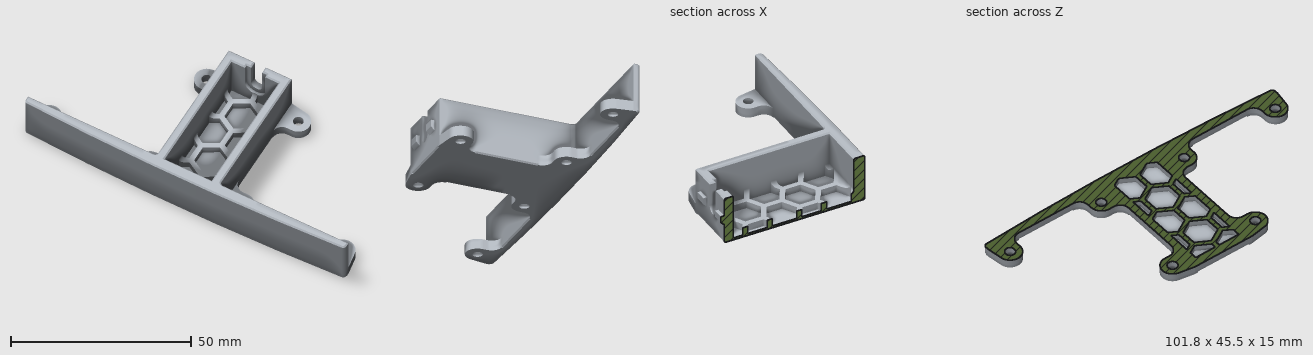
import cadquery as cq
import math

length = 101.8
height = 15.0
edge_chamfer = 0.4

plate_back = 3.6
plate_bow = 1.4
plate_corner_radius = 1.0

tray_width = 20.0
tray_rear = 44.4
wall = 2.5
rear_wall = 3.0
inner_corner_radius = 1.0

rib_top = 3.1
cell_floor = 0.8
floor_fillet = 1.5
cell_flats = 8.3
rib_width = 1.5
first_row_y = 8.2
row_count = 5

tab_height = 3.1
tab_radius = 3.6
tab_fillet = 3.0
tab_root_depth = 1.0
hole_diameter = 3.0
hole_pitch = 32.1
inner_hole_x = 14.5
front_hole_y = 7.9

slot_width = 3.5
slot_centre_z = 7.4
groove_width = 6.4
groove_depth = 0.9

hook_x = 5.1
hook_width = 3.4
hook_reach = 1.1
hook_root_depth = 1.0
hook_top = 9.3
hook_tip_bottom = 7.2
hook_root_bottom = 6.1

half_length = length / 2
half_tray = tray_width / 2
half_cavity = half_tray - wall
cavity_front = plate_back
cavity_rear = tray_rear - rear_wall
cavity_length = cavity_rear - cavity_front
cavity_middle = (cavity_rear + cavity_front) / 2
outer_hole_x = inner_hole_x + hole_pitch
rear_hole_y = front_hole_y + hole_pitch
tab_inside_x = half_tray - tab_root_depth
tab_inside_y = plate_back - tab_root_depth
diagonal = math.sqrt(0.5)
fillet_bend = tab_fillet * (1 - diagonal)

pick_margin = 0.1


def front_plate_and_tray():
    """T-shaped block: bowed front plate with the tray behind it."""
    outline = (
        cq.Workplane("XY")
        .moveTo(-half_length, plate_back)
        .lineTo(-half_length, plate_bow)
        .threePointArc((0, 0), (half_length, plate_bow))
        .lineTo(half_length, plate_back)
        .lineTo(half_tray, plate_back)
        .lineTo(half_tray, tray_rear)
        .lineTo(-half_tray, tray_rear)
        .lineTo(-half_tray, plate_back)
        .close()
        .extrude(height)
    )
    plate_ends = cq.selectors.BoxSelector(
        (-half_length - pick_margin, -pick_margin, -pick_margin),
        (half_length + pick_margin, plate_bow + pick_margin, height + pick_margin),
    )
    tray_roots = cq.selectors.BoxSelector(
        (-half_tray - pick_margin, plate_back - pick_margin, -pick_margin),
        (half_tray + pick_margin, plate_back + pick_margin, height + pick_margin),
    )
    return (
        outline.edges("|Z").edges(plate_ends).fillet(plate_corner_radius)
        .edges("|Z").edges(tray_roots).fillet(inner_corner_radius)
        .faces("<Z").edges().chamfer(edge_chamfer)
    )


def tangent_point(centre, radius, point, side):
    """Point where the line from an outside point touches a circle."""
    dx = point[0] - centre[0]
    dy = point[1] - centre[1]
    angle = math.atan2(dy, dx) + side * math.acos(radius / math.hypot(dx, dy))
    return (centre[0] + radius * math.cos(angle), centre[1] + radius * math.sin(angle))


def rear_tab():
    """Tab beside the rear corner, on the +X side."""
    centre_x, centre_y = inner_hole_x, rear_hole_y
    corner = (half_tray, tray_rear)
    touch = tangent_point((centre_x, centre_y), tab_radius, corner, -1)
    low = centre_y - tab_radius
    return (
        cq.Workplane("XY")
        .moveTo(tab_inside_x, tray_rear)
        .lineTo(*corner)
        .lineTo(*touch)
        .threePointArc((centre_x + tab_radius, centre_y), (centre_x, low))
        .lineTo(half_tray + tab_fillet, low)
        .threePointArc((half_tray + fillet_bend, low - fillet_bend), (half_tray, low - tab_fillet))
        .lineTo(tab_inside_x, low - tab_fillet)
        .close()
        .extrude(tab_height)
    )


def inner_front_tab():
    """Tab in the corner between the tray and the plate, on the +X side."""
    centre_x, centre_y = inner_hole_x, front_hole_y
    top = centre_y + tab_radius
    right = centre_x + tab_radius
    reach = tab_radius * diagonal
    return (
        cq.Workplane("XY")
        .moveTo(tab_inside_x, tab_inside_y)
        .lineTo(tab_inside_x, top + tab_fillet)
        .lineTo(half_tray, top + tab_fillet)
        .threePointArc((half_tray + fillet_bend, top + fillet_bend), (half_tray + tab_fillet, top))
        .lineTo(centre_x, top)
        .threePointArc((centre_x + reach, centre_y + reach), (right, centre_y))
        .lineTo(right, plate_back + tab_fillet)
        .threePointArc(
            (right + fillet_bend, plate_back + fillet_bend), (right + tab_fillet, plate_back)
        )
        .lineTo(right + tab_fillet, tab_inside_y)
        .close()
        .extrude(tab_height)
    )


def outer_front_tab():
    """Tab at the end of the plate, on the +X side."""
    centre_x, centre_y = outer_hole_x, front_hole_y
    left = centre_x - tab_radius
    corner = (half_length, plate_back)
    touch = tangent_point((centre_x, centre_y), tab_radius, corner, 1)
    return (
        cq.Workplane("XY")
        .moveTo(left - tab_fillet, tab_inside_y)
        .lineTo(left - tab_fillet, plate_back)
        .threePointArc(
            (left - fillet_bend, plate_back + fillet_bend), (left, plate_back + tab_fillet)
        )
        .lineTo(left, centre_y)
        .threePointArc((centre_x, centre_y + tab_radius), touch)
        .lineTo(*corner)
        .lineTo(half_length, tab_inside_y)
        .close()
        .extrude(tab_height)
    )


def tabs():
    """All six screw tabs, mirrored about the middle of the plate."""
    one_side = rear_tab().union(inner_front_tab()).union(outer_front_tab())
    return one_side.union(one_side.mirror("YZ"))


def screw_holes():
    right = [
        (inner_hole_x, rear_hole_y),
        (inner_hole_x, front_hole_y),
        (outer_hole_x, front_hole_y),
    ]
    left = [(-x, y) for x, y in right]
    return cq.Workplane("XY").pushPoints(right + left).circle(hole_diameter / 2).extrude(tab_height)


def cavity():
    """Open-topped space with a rounded floor edge."""
    return (
        cq.Workplane("XY", origin=(0, cavity_middle, rib_top))
        .rect(2 * half_cavity, cavity_length)
        .extrude(height - rib_top)
        .faces("<Z").edges().fillet(floor_fillet)
    )


def honeycomb_cells():
    """Hexagonal pockets with corners pointing along Y, kept inside the tray walls."""
    pitch = cell_flats + rib_width
    row_step = pitch * math.sqrt(0.75)
    cell = (
        cq.Workplane("XY")
        .transformed(rotate=(0, 0, 30))
        .polygon(6, cell_flats / math.cos(math.pi / 6))
        .extrude(rib_top + floor_fillet - cell_floor)
    )
    cells = cq.Workplane("XY")
    for row in range(row_count):
        offsets = (-1, 0, 1) if row % 2 else (-1.5, -0.5, 0.5, 1.5)
        for offset in offsets:
            cells = cells.add(cell.translate((offset * pitch, first_row_y + row * row_step, cell_floor)))
    inside = (
        cq.Workplane("XY", origin=(0, cavity_middle, 0))
        .rect(2 * half_cavity, cavity_length)
        .extrude(height)
    )
    return cells.combine().intersect(inside)


def upright_slot(width, front, rear):
    """Open-topped slot along Y with a half-round bottom."""
    radius = width / 2
    return (
        cq.Workplane("XZ", origin=(0, rear, 0))
        .moveTo(-radius, height)
        .lineTo(-radius, slot_centre_z)
        .threePointArc((0, slot_centre_z - radius), (radius, slot_centre_z))
        .lineTo(radius, height)
        .close()
        .extrude(rear - front)
    )


def cable_slot():
    """Slot through the rear wall, wider on the inside."""
    through = upright_slot(slot_width, cavity_rear, tray_rear)
    groove = upright_slot(groove_width, cavity_rear, cavity_rear + groove_depth)
    return through.union(groove)


def snap_hooks():
    """Two hooks behind the rear wall, sloped underneath."""
    hook = (
        cq.Workplane("YZ", origin=(-hook_width / 2, 0, 0))
        .moveTo(tray_rear - hook_root_depth, hook_root_bottom)
        .lineTo(tray_rear, hook_root_bottom)
        .lineTo(tray_rear + hook_reach, hook_tip_bottom)
        .lineTo(tray_rear + hook_reach, hook_top)
        .lineTo(tray_rear - hook_root_depth, hook_top)
        .close()
        .extrude(hook_width)
    )
    return hook.translate((hook_x, 0, 0)).union(hook.translate((-hook_x, 0, 0)))


housing = (
    front_plate_and_tray()
    .union(tabs())
    .cut(cavity())
    .cut(cable_slot())
    .faces(">Z").edges().chamfer(edge_chamfer)
    .cut(honeycomb_cells())
    .cut(screw_holes())
    .union(snap_hooks())
)

result = cq.Compound.makeCompound([housing.val()])